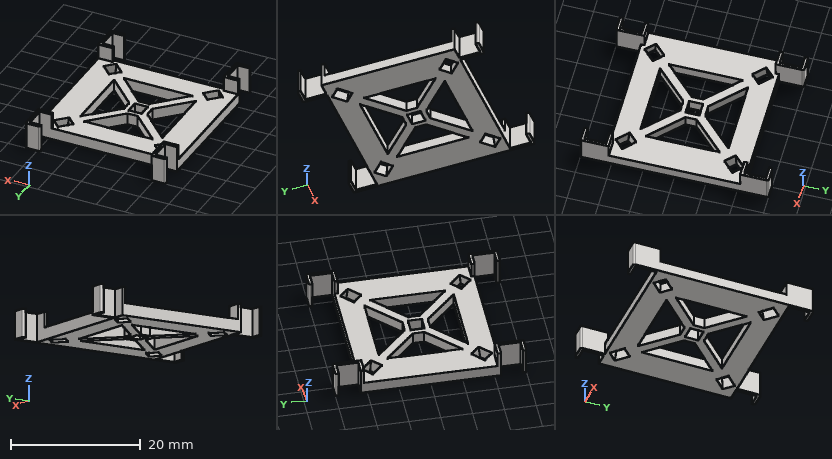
import cadquery as cq
import math

width = 24.0
length = 30.0
clip_height = 4.5

plate_length = 22.02
plate_thickness = 2.0
window_side = 14.0
spoke_width = 1.6
hub_side = 4.0
hub_hole_side = 2.2

slot_offset = 8.6
slot_radial_size = 2.5
slot_cross_size = 2.0
slot_lean = 8.0

clip_width = 2.5
clip_arm = 0.55
clip_wall = 0.48
clip_edge_radius = 0.3


def centered_block(size_x, size_y):
    """Block of plate thickness standing on the ground plane at the center."""
    return cq.Workplane("XY").box(size_x, size_y, plate_thickness, centered=(True, True, False))


def make_plate():
    """Plate with a square window crossed by two diagonal spokes and a hub."""
    window = centered_block(window_side, window_side)
    spoke_length = window_side * math.sqrt(2)
    spoke = centered_block(spoke_length, spoke_width)
    for angle in (45, -45):
        window = window.cut(spoke.rotate((0, 0, 0), (0, 0, 1), angle))
    window = window.cut(centered_block(hub_side, hub_side))
    hub_hole = centered_block(hub_hole_side, hub_hole_side)
    return centered_block(width, plate_length).cut(window).cut(hub_hole)


def make_slot(angle):
    """Leaning slot cutter whose opening lies on the diagonal at the given angle."""
    top_radius = slot_offset * math.sqrt(2)
    lean = math.radians(slot_lean)
    shift = plate_thickness * math.tan(lean)
    half = slot_radial_size / 2
    outline = [
        (top_radius - half, plate_thickness),
        (top_radius + half, plate_thickness),
        (top_radius + half + shift, 0),
        (top_radius - half + shift, 0),
    ]
    cutter = cq.Workplane("XZ").polyline(outline).close().extrude(slot_cross_size / 2, both=True)
    return cutter.rotate((0, 0, 0), (0, 0, 1), angle)


def make_clip(right_edge):
    """Clip at the +Y end; its wall lies along right_edge and its inner arm overlaps the plate."""
    inner_y = plate_length / 2 - clip_arm
    outer_y = length / 2
    left_edge = right_edge - clip_width
    body = (
        cq.Workplane("XY")
        .box(clip_width, outer_y - inner_y, clip_height, centered=False)
        .translate((left_edge, inner_y, 0))
        .edges("|Z and >Y")
        .fillet(clip_edge_radius)
    )
    opening = (
        cq.Workplane("XY")
        .box(clip_width - clip_wall, outer_y - inner_y - 2 * clip_arm, clip_height, centered=False)
        .translate((left_edge, inner_y + clip_arm, 0))
    )
    return body.cut(opening)


result = make_plate()
for slot_angle in (45, 135, 225, 315):
    result = result.cut(make_slot(slot_angle))

for clip_right_edge in (-width / 2 + clip_width, width / 2):
    clip = make_clip(clip_right_edge)
    result = result.union(clip).union(clip.mirror("XZ"))